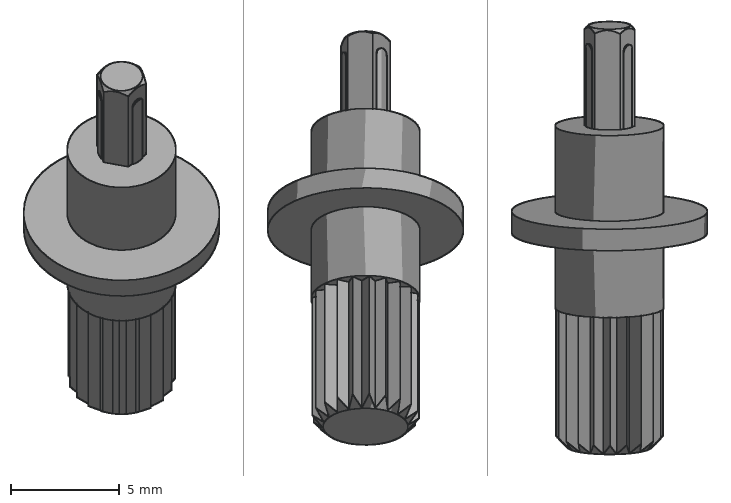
import cadquery as cq
import math

total_height = 19.7
spline_length = 6.5
lower_hub_length = 3.5
flange_thickness = 1.0
upper_hub_length = 4.0
flange_bottom = spline_length + lower_hub_length
flange_top = flange_bottom + flange_thickness
hub_top = flange_top + upper_hub_length

hub_diameter = 5.0
flange_diameter = 9.0

tooth_count = 20
tip_radius = 2.46
root_radius = 1.97
spline_end_radius = 1.95
spline_chamfer = tip_radius - spline_end_radius

across_flats = 2.03
across_corners = across_flats / math.cos(math.pi / 6)
drive_end_radius = 0.97
drive_chamfer = across_corners / 2 - drive_end_radius
rib_count = 3
rib_width = 0.67
rib_crown_radius = 1.1
rib_top = total_height - 0.79


def polar_point(radius, angle):
    return radius * math.cos(angle), radius * math.sin(angle)


def make_body():
    hub = (
        cq.Workplane("XY", origin=(0, 0, spline_length))
        .circle(hub_diameter / 2)
        .extrude(hub_top - spline_length)
    )
    flange = (
        cq.Workplane("XY", origin=(0, 0, flange_bottom))
        .circle(flange_diameter / 2)
        .extrude(flange_thickness)
    )
    return hub.union(flange)


def make_spline():
    half_pitch = math.pi / tooth_count
    outline = []
    for tooth in range(tooth_count):
        tip_angle = 2 * tooth * half_pitch
        outline.append(polar_point(tip_radius, tip_angle))
        outline.append(polar_point(root_radius, tip_angle + half_pitch))
    teeth = cq.Workplane("XY").polyline(outline).close().extrude(spline_length)
    chamfered_blank = (
        cq.Workplane("XY")
        .circle(tip_radius)
        .extrude(spline_length)
        .faces("<Z")
        .chamfer(spline_chamfer)
    )
    return teeth.intersect(chamfered_blank)


def make_drive():
    length = total_height - hub_top
    base = cq.Workplane("XY", origin=(0, 0, hub_top))
    hexagon = base.polygon(6, across_corners).extrude(length)
    chamfered_blank = base.circle(across_corners / 2).extrude(length).faces(">Z").chamfer(drive_chamfer)
    return hexagon.intersect(chamfered_blank)


def make_rib():
    """Round-ended rib on the -Y face, its crown concentric with the shaft."""
    half_width = rib_width / 2
    outline = (
        cq.Workplane("XZ")
        .moveTo(-half_width, hub_top)
        .lineTo(-half_width, rib_top - half_width)
        .threePointArc((0, rib_top), (half_width, rib_top - half_width))
        .lineTo(half_width, hub_top)
        .close()
        .extrude(across_flats)
    )
    crown = (
        cq.Workplane("XY", origin=(0, 0, hub_top))
        .circle(rib_crown_radius)
        .extrude(total_height - hub_top)
    )
    return outline.intersect(crown)


result = make_body().union(make_spline()).union(make_drive())
rib = make_rib()
for index in range(rib_count):
    rib_angle = index * 360 / rib_count
    result = result.union(rib.rotate((0, 0, 0), (0, 0, 1), rib_angle))